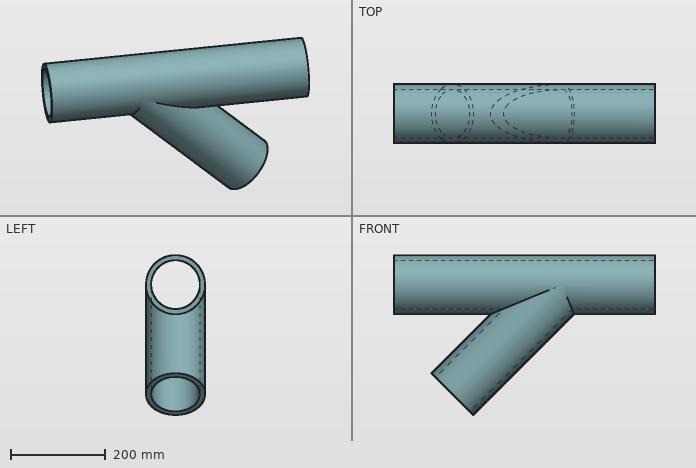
import cadquery as cq

run_length = 550.0
outer_diameter = 125.0
bore_diameter = 102.5
branch_length = 326.0
branch_angle = 45.0
junction_x = 78.5


def run_cylinder(diameter):
    """Cylinder along X, centred on the origin."""
    return cq.Workplane("YZ").circle(diameter / 2).extrude(run_length / 2, both=True)


def branch_cylinder(diameter):
    """Cylinder from the junction of the axes, sloping down towards -X."""
    return (
        cq.Workplane("YZ")
        .circle(diameter / 2)
        .extrude(-branch_length)
        .rotate((0, 0, 0), (0, 1, 0), -branch_angle)
        .translate((junction_x, 0, 0))
    )


body = run_cylinder(outer_diameter).union(branch_cylinder(outer_diameter))
result = body.cut(run_cylinder(bore_diameter)).cut(branch_cylinder(bore_diameter))